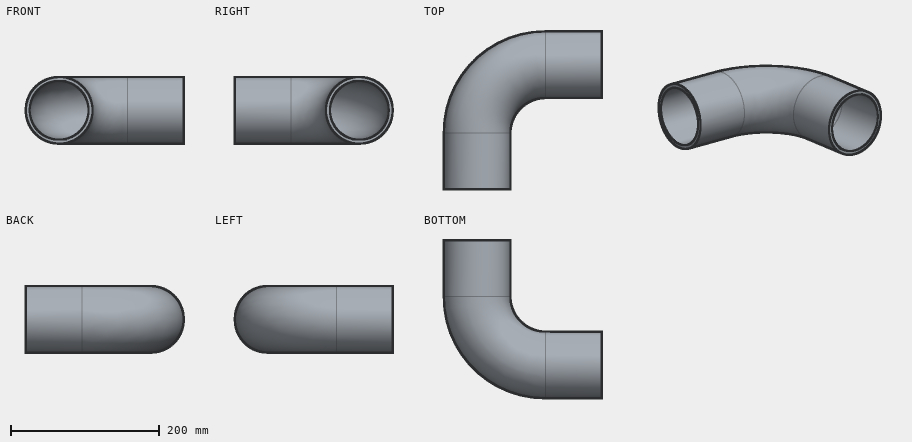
import cadquery as cq

overall_length = 213.0
outer_diameter = 90.0
bore_diameter = 79.2
leg_length = 76.0

bend_radius = overall_length - leg_length - outer_diameter / 2


def elbow(diameter):
    """Solid round bar: a leg along -Y, a quarter bend, then a leg along +X."""
    radius = diameter / 2

    leg_y = cq.Workplane("XZ").circle(radius).extrude(leg_length)
    bend = cq.Workplane("XZ").circle(radius).revolve(90, (bend_radius, 0), (bend_radius, -1))
    leg_x = (
        cq.Workplane("YZ", origin=(bend_radius, bend_radius, 0))
        .circle(radius)
        .extrude(leg_length)
    )
    return leg_y.union(bend).union(leg_x)


result = elbow(outer_diameter).cut(elbow(bore_diameter))